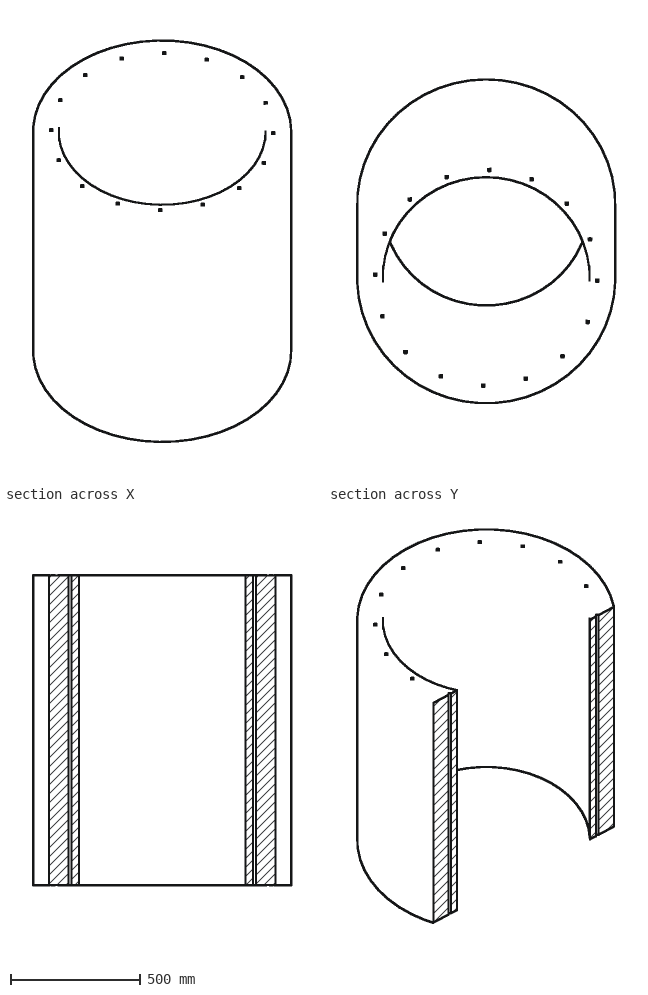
import cadquery as cq

height = 1200.0
outer_diameter = 1000.0
inner_diameter = 800.0
edge_fillet = 2.0

hole_count = 16
hole_diameter = 10.0
hole_circle_diameter = 859.0
hole_pitch_angle = 360.0 / hole_count


def make_tube():
    """Upright tube standing on Z = 0 with both rims rounded inside and out."""
    tube = cq.Workplane("XY").circle(outer_diameter / 2).circle(inner_diameter / 2).extrude(height)
    return tube.faces("<Z or >Z").edges().fillet(edge_fillet)


def make_holes():
    """Through holes along the full height, straddling the X and Y axes by half a pitch."""
    return (
        cq.Workplane("XY")
        .polarArray(hole_circle_diameter / 2, hole_pitch_angle / 2, 360, hole_count)
        .circle(hole_diameter / 2)
        .extrude(height)
    )


result = make_tube().cut(make_holes())